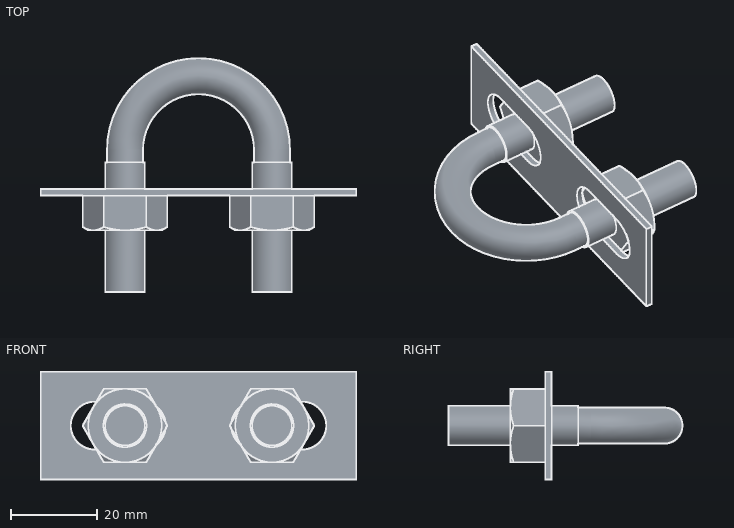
import cadquery as cq
import math


plate_length = 73.0
plate_height = 25.0
plate_thickness = 1.5
slot_width = 11.0
slot_center_distance = 10.95
slot_offset = 18.55

total_depth = 54.2
leg_spacing = 34.0
bend_diameter = 8.4
thread_diameter = 9.2
thread_end_y = -22.35
thread_length = 30.0
shoulder_y = thread_end_y + thread_length
bend_radius = leg_spacing / 2
apex_y = thread_end_y + total_depth
bend_center_y = apex_y - bend_radius - bend_diameter / 2

nut_across_flats = 17.0
nut_thickness = 8.0
nut_chamfer_angle = 30.0
countersink_diameter = 10.0
countersink_depth = (countersink_diameter - thread_diameter) / 2
nut_corner_radius = nut_across_flats / 2 / math.cos(math.pi / 6)


def make_plate():
    """Flat rectangular plate with one clearance slot for each leg."""
    plate = cq.Workplane("XZ").rect(plate_length, plate_height).extrude(-plate_thickness)
    slots = (
        cq.Workplane("XZ")
        .pushPoints([(-slot_offset, 0), (slot_offset, 0)])
        .slot2D(slot_center_distance + slot_width, slot_width)
        .extrude(-plate_thickness)
    )
    return plate.cut(slots)


def make_u_bolt():
    """Bent round bar with a thicker threaded length on each leg."""
    bend_path = (
        cq.Workplane("XY")
        .moveTo(-bend_radius, shoulder_y)
        .lineTo(-bend_radius, bend_center_y)
        .threePointArc((0, bend_center_y + bend_radius), (bend_radius, bend_center_y))
        .lineTo(bend_radius, shoulder_y)
    )
    bar = (
        cq.Workplane("XZ", origin=(-bend_radius, shoulder_y, 0))
        .circle(bend_diameter / 2)
        .sweep(bend_path)
    )
    threads = (
        cq.Workplane("XZ", origin=(0, thread_end_y, 0))
        .pushPoints([(-bend_radius, 0), (bend_radius, 0)])
        .circle(thread_diameter / 2)
        .extrude(-thread_length)
    )
    return bar.union(threads)


def make_nut(x):
    """Hexagon nut centered on the leg at x, chamfered and countersunk on its outer face."""
    hexagon = (
        cq.Workplane("XZ")
        .polygon(6, 2 * nut_corner_radius)
        .extrude(nut_thickness)
    )
    face_radius = nut_across_flats / 2
    corner_drop = (nut_corner_radius - face_radius) * math.tan(math.radians(nut_chamfer_angle))
    envelope = (
        cq.Workplane("XZ")
        .circle(nut_corner_radius)
        .extrude(nut_thickness)
        .faces("<Y")
        .chamfer(corner_drop, nut_corner_radius - face_radius)
    )
    bore = cq.Workplane("XZ").circle(thread_diameter / 2).extrude(nut_thickness)
    nut = hexagon.intersect(envelope).cut(bore)
    bore_rim = nut.faces("<Y").edges(cq.selectors.RadiusNthSelector(0))
    nut = bore_rim.chamfer(countersink_depth)
    return nut.translate((x, 0, 0))


plate = make_plate()
u_bolt = make_u_bolt()
nuts = [make_nut(x) for x in (-bend_radius, bend_radius)]

result = cq.Compound.makeCompound([plate.val(), u_bolt.val(), *[nut.val() for nut in nuts]])